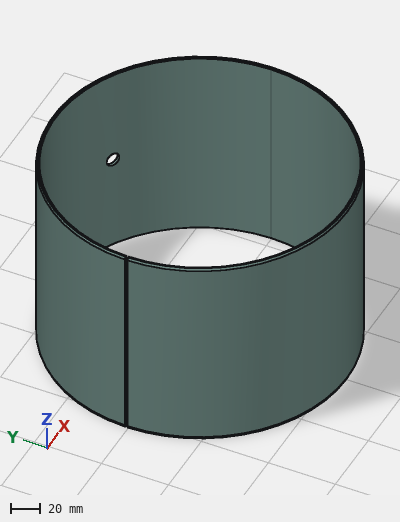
import cadquery as cq

outer_diameter = 220.0
height = 150.0
wall = 2.5
outer_bevel_height = 2.0
outer_bevel_width = 0.75
inner_bevel = 0.7
slit_width = 2.0
hole_diameter = 10.0
hole_angle = 59.0

outer_radius = outer_diameter / 2
inner_radius = outer_radius - wall
rim_outer_radius = outer_radius - outer_bevel_width
rim_inner_radius = inner_radius + inner_bevel


def make_sleeve():
    """Thin tube with both rims bevelled outside and inside, revolved from its wall section."""
    section = [
        (inner_radius, inner_bevel),
        (rim_inner_radius, 0),
        (rim_outer_radius, 0),
        (outer_radius, outer_bevel_height),
        (outer_radius, height - outer_bevel_height),
        (rim_outer_radius, height),
        (rim_inner_radius, height),
        (inner_radius, height - inner_bevel),
    ]
    return cq.Workplane("XZ").polyline(section).close().revolve(360, (0, 0), (0, 1))


def make_slit():
    """Full-height cutter through the -X wall, with one face on the XZ plane."""
    return cq.Workplane("XY").box(
        outer_diameter, slit_width, height, centered=(False, False, False)
    ).translate((-outer_diameter, 0, 0))


def make_hole():
    """Radial cutter through one side of the wall at mid-height."""
    return (
        cq.Workplane("YZ")
        .center(0, height / 2)
        .circle(hole_diameter / 2)
        .extrude(outer_diameter)
        .rotate((0, 0, 0), (0, 0, 1), hole_angle)
    )


result = make_sleeve().cut(make_slit()).cut(make_hole())